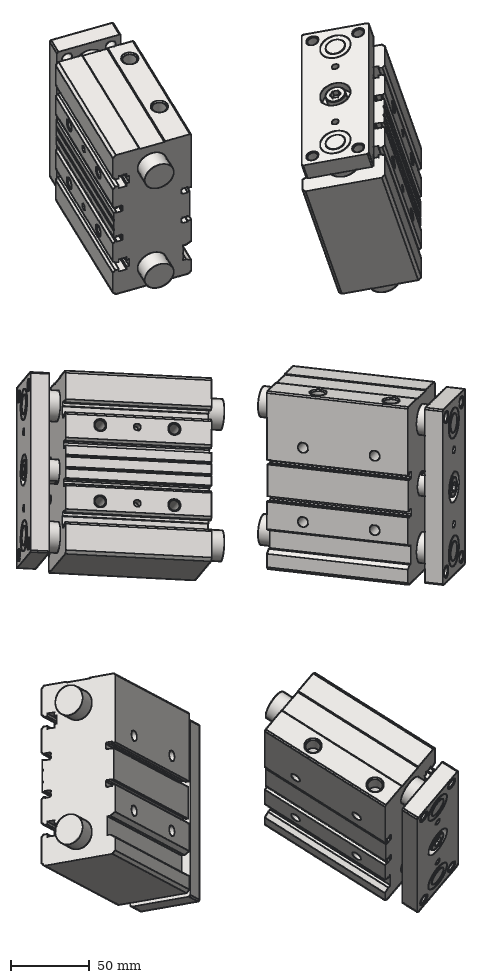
import cadquery as cq
import math


total_length = 128.0
plate_thickness = 12.0
housing_start = 21.8
housing_length = 94.5
housing_depth = 54.0
housing_height = 120.0
half_depth = housing_depth / 2
half_height = housing_height / 2

guide_diameter = 20.0
guide_spacing = 86.0
guide_positions = (-guide_spacing / 2, guide_spacing / 2)
piston_diameter = 16.0
piston_insertion = 76.8
piston_end = housing_start + piston_insertion
piston_flats_width = 14.1
piston_flats_gap = 1.0

head_diameter = 13.2
head_chamfer = 0.4
counterbore_diameter = guide_diameter
counterbore_depth = 6.4
guide_end_recess = 0.3
hex_across_flats = 6.0
hex_depth = 3.8

plate_depth = 44.0
plate_height = 118.0
plate_chamfer = 1.0
corner_hole_pitch_y = 30.0
corner_hole_pitch_z = 104.0

screw_diameter = 6.8
screw_mouth_diameter = 8.0
pin_diameter = 4.5
pin_row_spacing = 49.9
plate_pin_depth = 6.0
housing_pin_depth = 8.0
screw_first_x = 44.0
screw_last_x = 92.0
drill_half_angle = math.radians(59)

port_first_x = 36.1
port_last_x = 84.9
port_y = 18.0
port_diameter = 9.3
port_mouth_diameter = 11.1
port_depth = 11.0
port_pilot_diameter = 3.5
port_pilot_depth = 20.5

large_chamfer = 2.0
small_chamfer = 1.0
lip_chamfer = 1.7
top_recess_width = 17.8
top_recess_depth = 0.5

t_slot_z = 36.0
t_slot_mouth = 6.4
t_slot_width = 10.2
t_slot_lip = 4.2
t_slot_depth = 9.5
t_slot_relief_width = 5.5
t_slot_relief_depth = 11.1

sensor_mouth_near = 10.6
sensor_mouth_far = 14.1
sensor_near = 10.2
sensor_far = 14.8
sensor_lip = 2.5
sensor_depth = 6.9
sensor_floor_chamfer = 0.9

front_panel_recess = 0.5
back_panel_recess = 1.0
groove_z = 4.0
groove_width = 1.5
groove_floor_width = 0.5
groove_depth = 0.5

flared_slot_z = -40.7
flared_mouth = 16.6
flared_neck = 12.5
flared_neck_depth = 3.6
flared_depth = 5.8


def x_cylinder(diameter, start, end, z=0):
    return cq.Workplane("YZ", origin=(start, 0, z)).circle(diameter / 2).extrude(end - start)


def x_prism(points):
    """Extrude a (Y, Z) outline along the whole length of the housing."""
    outline = cq.Workplane("YZ", origin=(housing_start, 0, 0)).polyline(points).close()
    return outline.extrude(housing_length)


def x_box(y_low, y_high, z_low, z_high):
    return x_prism([(y_low, z_low), (y_high, z_low), (y_high, z_high), (y_low, z_high)])


def cone(base, direction, base_radius, tip_radius, height):
    solid = cq.Solid.makeCone(base_radius, tip_radius, height, cq.Vector(*base), cq.Vector(*direction))
    return cq.Workplane(solid)


def cylinder(base, direction, diameter, height):
    solid = cq.Solid.makeCylinder(diameter / 2, height, cq.Vector(*base), cq.Vector(*direction))
    return cq.Workplane(solid)


def countersunk_hole(base, direction, depth, diameter, mouth_diameter):
    """A round hole with a 45 degree chamfer at its mouth."""
    chamfer = (mouth_diameter - diameter) / 2
    mouth = cone(base, direction, mouth_diameter / 2, diameter / 2, chamfer)
    return cylinder(base, direction, diameter, depth).union(mouth)


def drill_point(base, direction, depth, diameter):
    """The conical bottom that a drill leaves beyond the given depth."""
    tip = [b + d * depth for b, d in zip(base, direction)]
    height = diameter / 2 / math.tan(drill_half_angle)
    return cone(tip, direction, diameter / 2, 0, height)


def pin_hole(base, direction, depth):
    """A blind round hole with a drill-point bottom."""
    wall = cylinder(base, direction, pin_diameter, depth)
    return wall.union(drill_point(base, direction, depth, pin_diameter))




def housing_blank():
    return x_prism([
        (-half_depth + large_chamfer, -half_height),
        (half_depth - large_chamfer, -half_height),
        (half_depth, -half_height + large_chamfer),
        (half_depth, half_height - small_chamfer),
        (half_depth - small_chamfer, half_height),
        (-half_depth + large_chamfer, half_height),
        (-half_depth, half_height - large_chamfer),
        (-half_depth, -half_height + large_chamfer),
    ])


def top_recess():
    half_width = top_recess_width / 2
    floor_z = half_height - top_recess_depth
    half_floor = half_width - top_recess_depth
    return x_prism([
        (-half_width, half_height), (-half_floor, floor_z), (half_floor, floor_z), (half_width, half_height),
    ])


def t_slot(z):
    lip_y = -half_depth + t_slot_lip
    wide_y = -half_depth + t_slot_depth
    relief_y = -half_depth + t_slot_relief_depth
    bevel_y = -half_depth + lip_chamfer
    half_mouth = t_slot_mouth / 2
    half_flare = half_mouth + lip_chamfer
    mouth = x_prism([
        (-half_depth, z - half_flare), (bevel_y, z - half_mouth), (lip_y, z - half_mouth),
        (lip_y, z + half_mouth), (bevel_y, z + half_mouth), (-half_depth, z + half_flare),
    ])
    wide = x_box(lip_y, wide_y, z - t_slot_width / 2, z + t_slot_width / 2)
    relief = x_box(wide_y, relief_y, z - t_slot_relief_width / 2, z + t_slot_relief_width / 2)
    return mouth.union(wide).union(relief)


def sensor_slot(y_side, z_side):
    """A slot with an inner channel wider than its mouth; the sides give its signs along Y and Z."""
    mouth_y = half_depth
    lip_y = half_depth - sensor_lip
    floor_y = half_depth - sensor_depth
    bevel_y = floor_y + sensor_floor_chamfer
    outline = [
        (mouth_y, sensor_mouth_near),
        (lip_y, sensor_mouth_near),
        (lip_y, sensor_near),
        (bevel_y, sensor_near),
        (floor_y, sensor_near + sensor_floor_chamfer),
        (floor_y, sensor_far - sensor_floor_chamfer),
        (bevel_y, sensor_far),
        (lip_y, sensor_far),
        (lip_y, sensor_mouth_far),
        (mouth_y, sensor_mouth_far),
    ]
    return x_prism([(y_side * y, z_side * z) for y, z in outline])


def sensor_lip_bevel(z_side):
    """Bevel on the outer lip of a front sensor slot."""
    outline = [
        (-half_depth, sensor_mouth_far),
        (-half_depth + lip_chamfer, sensor_mouth_far),
        (-half_depth, sensor_mouth_far + lip_chamfer),
    ]
    return x_prism([(y, z_side * z) for y, z in outline])


def panel_groove(z):
    face_y = -half_depth + front_panel_recess
    floor_y = face_y + groove_depth
    return x_prism([
        (face_y, z - groove_width / 2), (floor_y, z - groove_floor_width / 2),
        (floor_y, z + groove_floor_width / 2), (face_y, z + groove_width / 2),
    ])


def flared_slot():
    neck_y = half_depth - flared_neck_depth
    floor_y = half_depth - flared_depth
    half_mouth = flared_mouth / 2
    half_neck = flared_neck / 2
    outline = [
        (half_depth, -half_mouth), (neck_y, -half_neck), (floor_y, -half_neck),
        (floor_y, half_neck), (neck_y, half_neck), (half_depth, half_mouth),
    ]
    return x_prism([(y, flared_slot_z + z) for y, z in outline])


def air_port(x):
    base = (x, port_y, half_height)
    down = (0, 0, -1)
    port = countersunk_hole(base, down, port_depth, port_diameter, port_mouth_diameter)
    pilot = cylinder(base, down, port_pilot_diameter, port_pilot_depth)
    return port.union(drill_point(base, down, port_depth, port_diameter)).union(pilot)


def make_housing():
    housing_end = housing_start + housing_length
    body = housing_blank().cut(top_recess())

    front_panel_y = -half_depth + front_panel_recess
    back_panel_y = half_depth - back_panel_recess
    body = body.cut(x_box(-half_depth, front_panel_y, -sensor_mouth_near, sensor_mouth_near))
    body = body.cut(x_box(back_panel_y, half_depth, -sensor_mouth_near, sensor_mouth_near))

    for side in (-1, 1):
        body = body.cut(t_slot(side * t_slot_z))
        body = body.cut(sensor_slot(-1, side)).cut(sensor_slot(1, side))
        body = body.cut(sensor_lip_bevel(side))
        body = body.cut(panel_groove(side * groove_z))
    body = body.cut(flared_slot())

    inward = (0, 1, 0)
    pin_x = (screw_first_x + screw_last_x) / 2
    for z in (-pin_row_spacing / 2, pin_row_spacing / 2):
        for x in (screw_first_x, screw_last_x):
            base = (x, -half_depth, z)
            body = body.cut(countersunk_hole(base, inward, housing_depth, screw_diameter, screw_mouth_diameter))
        body = body.cut(pin_hole((pin_x, -half_depth, z), inward, housing_pin_depth))

    for x in (port_first_x, port_last_x):
        body = body.cut(air_port(x))

    body = body.cut(x_cylinder(piston_diameter, housing_start, piston_end))
    for z in guide_positions:
        body = body.cut(x_cylinder(guide_diameter, housing_start, housing_end, z))
    return body




def make_plate():
    body = cq.Workplane("XY").box(plate_thickness, plate_depth, plate_height)
    body = body.edges("|X").chamfer(plate_chamfer).translate((plate_thickness / 2, 0, 0))

    inward = (1, 0, 0)
    for y in (-corner_hole_pitch_y / 2, corner_hole_pitch_y / 2):
        for z in (-corner_hole_pitch_z / 2, corner_hole_pitch_z / 2):
            hole = countersunk_hole((0, y, z), inward, plate_thickness, screw_diameter, screw_mouth_diameter)
            body = body.cut(hole)
    for z in (-pin_row_spacing / 2, pin_row_spacing / 2):
        body = body.cut(pin_hole((0, 0, z), inward, plate_pin_depth))

    body = body.cut(x_cylinder(head_diameter, 0, plate_thickness))
    body = body.cut(x_cylinder(counterbore_diameter, 0, counterbore_depth))
    for z in guide_positions:
        body = body.cut(x_cylinder(guide_diameter, 0, plate_thickness, z))
    return body




def rod_head(length, z=0):
    """The chamfered round end that finishes flush with the plate face."""
    return x_cylinder(head_diameter, 0, length, z).faces("<X").chamfer(head_chamfer)


def make_guide_rod(z):
    shaft = x_cylinder(guide_diameter, guide_end_recess, total_length, z)
    return shaft.union(rod_head(plate_thickness, z))


def make_piston_rod():
    """A round rod with two wrench flats beside the plate and a hex socket in its head."""
    shaft = x_cylinder(piston_diameter, plate_thickness, piston_end)
    flats_length = housing_start - piston_flats_gap - plate_thickness
    flats = cq.Workplane("YZ", origin=(plate_thickness, 0, 0)).rect(piston_diameter, piston_flats_width)
    flatted_part = shaft.intersect(flats.extrude(flats_length))
    shaft = x_cylinder(piston_diameter, plate_thickness + flats_length, piston_end).union(flatted_part)
    socket = cq.Workplane("YZ").polygon(6, hex_across_flats / math.cos(math.pi / 6)).extrude(hex_depth)
    return shaft.union(rod_head(plate_thickness)).cut(socket)


housing = make_housing()
plate = make_plate()
piston_rod = make_piston_rod()
guide_rods = [make_guide_rod(z).val() for z in guide_positions]

result = cq.Compound.makeCompound([housing.val(), plate.val(), piston_rod.val(), *guide_rods])